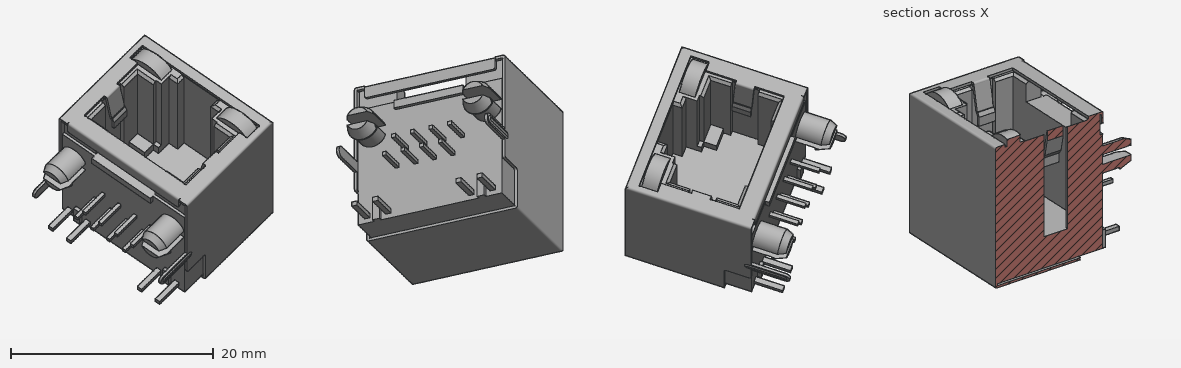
import cadquery as cq


SHELL_WIDTH = 16.5
SHELL_DEPTH = 13.2
SHELL_HEIGHT = 15.73
SHEET = 0.3
BEND_RADIUS = 0.25
SIDE_CUT_DEPTH = 2.81
SIDE_CUT_HEIGHT = 4.34
SIDE_CUT_RADIUS = 0.3
SIDE_CORNER_RADIUS = 0.2
SHELL_INNER_TOP = SHELL_HEIGHT - SHEET

WINDOW_HALF_WIDTH = 6.53
WINDOW_FRONT = 1.87
WINDOW_REAR = 12.0
LIGHT_WINDOW_HALF_WIDTH = 7.53
LIGHT_WINDOW_FRONT = 10.08

FLAP_WIDTH = 14.3
FLAP_BOTTOM = 14.39
FLAP_CORNER_RADIUS = 0.25

TAB_Z = 6.93
TAB_WIDTH = 1.17
TAB_TIP = -4.05
BEAD_HEIGHT = 0.1
BEAD_WIDTH = 0.76
BEAD_CREST_WIDTH = 0.33
BEAD_REAR = 0.7
BEAD_TIP = -3.75

SPRING_FRONT = 4.91
SPRING_REAR = 6.87
SPRING_THICKNESS = 0.25
SPRING_ROLL_X = 6.32
SPRING_TOP_X = 6.1
SPRING_TOP_Z = 15.5
SPRING_KNEE_X = 5.55
SPRING_KNEE_Z = 12.75
SPRING_STEP = 0.09
SPRING_NOSE_X = 5.24
SPRING_NOSE_Z = 12.3
SPRING_END_Z = 11.3

INSULATOR_WIDTH = 15.72
INSULATOR_FACE = 0.08
INSULATOR_BOTTOM = 0.45
LEDGE_Z = 13.22
LEDGE_DEPTH = 0.3

SOCKET_FLOOR = 4.0
SOCKET_FRONT = 2.23
SOCKET_HALF_WIDTH = 5.92
SHOULDER_Y = 9.33
NOTCH_HALF_WIDTH = 3.9
NOTCH_Y = 9.78
LATCH_HALF_WIDTH = 3.24
LATCH_Y = 10.95
KEY_HALF_WIDTH = 2.12
SOCKET_REAR = 11.94
LEAD_IN = 0.32
LEAD_IN_DEPTH = 0.25
FLOOR_STEP_HEIGHT = 1.0
FLOOR_STEP_FRONT = 8.0
SPRING_POCKET_HALF_WIDTH = 6.4
SPRING_POCKET_FRONT = 4.4
SPRING_POCKET_REAR = 7.24
SLOT_WIDTH = 7.54

STANDOFF_TIP = -0.3
BAR_HEIGHT = 0.85
RIB_X = 5.72
RIB_WIDTH = 0.77
RIB_TOP = 2.48

LIGHT_X = 5.47
LIGHT_WIDTH = 4.2
LIGHT_FRONT = 10.13
LIGHT_REAR = 11.78
LIGHT_TOP = 16.32
LIGHT_SHOULDER = 15.2
LIGHT_BOTTOM = 14.0

PEG_X = 6.32
PEG_Z = 10.36
PEG_RADIUS = 1.55
PEG_WIDTH = 2.96
PEG_TIP = -3.37
PEG_TIP_RADIUS = 1.2
PEG_TAPER_START = -2.6
BARB_RADIUS = 1.73
BARB_START = -1.97
BARB_TAPER_START = -2.1
PEG_SLOT = 1.03

PIN_TIP = -2.91
CONTACT_COUNT = 8
CONTACT_PITCH = 1.02
CONTACT_SIZE = 0.4
CONTACT_ROWS_Z = (6.04, 7.8)
LIGHT_PIN_XS = (4.55, 6.86)
LIGHT_PIN_Z = 1.2
LIGHT_PIN_WIDTH = 0.57
LIGHT_PIN_HEIGHT = 0.47


def box(x_range, y_range, z_range):
    size = [high - low for low, high in (x_range, y_range, z_range)]
    return cq.Workplane("XY").box(*size, centered=False).translate((x_range[0], y_range[0], z_range[0]))


def centered_box(width, y_range, z_range, x=0.0):
    return box((x - width / 2, x + width / 2), y_range, z_range)


def with_mirror(shape):
    """The shape together with its mirror image across X = 0."""
    return shape.union(shape.mirror("YZ"))


def mirrored_outline(right_side):
    """Closed XY outline from its right-hand points, listed from front to rear."""
    left_side = [(-x, y) for x, y in reversed(right_side)]
    return cq.Workplane("XY").polyline(right_side + left_side).close()


def make_shell():
    shell = centered_box(SHELL_WIDTH, (0, SHELL_DEPTH), (0, SHELL_HEIGHT))
    shell = shell.edges("(|Y and (>Z or <Z)) or (|X and >Y)").fillet(BEND_RADIUS)
    shell = shell.cut(
        centered_box(SHELL_WIDTH - 2 * SHEET, (0, SHELL_DEPTH - SHEET), (SHEET, SHELL_INNER_TOP))
    )
    side_cut = centered_box(SHELL_WIDTH, (0, SIDE_CUT_DEPTH), (0, SIDE_CUT_HEIGHT))
    shell = shell.cut(side_cut.edges("|X and >Y and >Z").fillet(SIDE_CUT_RADIUS))
    side_corners = cq.selectors.BoxSelector(
        (-SHELL_WIDTH, -SHEET, SIDE_CUT_HEIGHT - SHEET),
        (SHELL_WIDTH, SHEET, SIDE_CUT_HEIGHT + SHEET),
    )
    shell = shell.edges("|X").edges(side_corners).fillet(SIDE_CORNER_RADIUS)
    window = mirrored_outline([
        (WINDOW_HALF_WIDTH, WINDOW_FRONT),
        (WINDOW_HALF_WIDTH, LIGHT_WINDOW_FRONT),
        (LIGHT_WINDOW_HALF_WIDTH, LIGHT_WINDOW_FRONT),
        (LIGHT_WINDOW_HALF_WIDTH, WINDOW_REAR),
    ]).extrude(SHEET).translate((0, 0, SHELL_INNER_TOP))
    return shell.cut(window)


def make_flap():
    """Tongue of the top sheet folded down over the board side."""
    flap = centered_box(FLAP_WIDTH, (0, SHEET), (FLAP_BOTTOM, SHELL_HEIGHT))
    return flap.edges("|Y and <Z").fillet(FLAP_CORNER_RADIUS)


def round_flap_bend():
    """Material outside the rounded fold between the top sheet and the flap."""
    corner = centered_box(
        FLAP_WIDTH, (0, BEND_RADIUS), (SHELL_HEIGHT - BEND_RADIUS, SHELL_HEIGHT)
    )
    fold = (
        cq.Workplane("YZ", origin=(-FLAP_WIDTH / 2, BEND_RADIUS, SHELL_HEIGHT - BEND_RADIUS))
        .circle(BEND_RADIUS)
        .extrude(FLAP_WIDTH)
    )
    return corner.cut(fold)


def make_ground_tab():
    """Round-ended tab in the plane of the right-hand shell wall, with a raised bead."""
    outer_x = SHELL_WIDTH / 2
    tab_end = TAB_TIP + TAB_WIDTH / 2
    z_range = (TAB_Z - TAB_WIDTH / 2, TAB_Z + TAB_WIDTH / 2)
    tab = box((outer_x - SHEET, outer_x), (tab_end, SHEET), z_range)
    tip = (
        cq.Workplane("YZ", origin=(outer_x - SHEET, tab_end, TAB_Z))
        .circle(TAB_WIDTH / 2)
        .extrude(SHEET)
    )
    bead_length = BEAD_REAR - BEAD_TIP
    inset = BEAD_WIDTH - BEAD_CREST_WIDTH
    bead = (
        cq.Workplane("YZ", origin=(outer_x, (BEAD_REAR + BEAD_TIP) / 2, TAB_Z))
        .slot2D(bead_length, BEAD_WIDTH)
        .workplane(offset=BEAD_HEIGHT)
        .slot2D(bead_length - inset, BEAD_CREST_WIDTH)
        .loft(ruled=True)
    )
    return tab.union(tip).union(bead)


def make_spring():
    """Right-hand contact spring, rolled down from the edge of the window."""
    return (
        cq.Workplane("XZ", origin=(0, SPRING_REAR, 0))
        .moveTo(WINDOW_HALF_WIDTH + SHEET, SHELL_HEIGHT)
        .lineTo(SPRING_ROLL_X, SHELL_HEIGHT)
        .tangentArcPoint((SPRING_TOP_X, SPRING_TOP_Z), relative=False)
        .lineTo(SPRING_KNEE_X, SPRING_KNEE_Z)
        .lineTo(SPRING_KNEE_X - SPRING_STEP, SPRING_KNEE_Z)
        .lineTo(SPRING_NOSE_X, SPRING_NOSE_Z)
        .lineTo(SPRING_NOSE_X, SPRING_END_Z)
        .lineTo(SPRING_NOSE_X + SPRING_THICKNESS, SPRING_END_Z)
        .lineTo(SPRING_NOSE_X + SPRING_THICKNESS, SPRING_NOSE_Z)
        .lineTo(SPRING_KNEE_X + SPRING_THICKNESS, SPRING_KNEE_Z)
        .lineTo(SPRING_TOP_X + SPRING_THICKNESS, SHELL_INNER_TOP)
        .lineTo(WINDOW_HALF_WIDTH + SHEET, SHELL_INNER_TOP)
        .close()
        .extrude(SPRING_REAR - SPRING_FRONT)
    )


def lead_in(half_widths, fronts, rears):
    """Flared void under the top sheet; each pair gives its lower and upper limit."""
    levels = (SHELL_INNER_TOP - LEAD_IN_DEPTH, SHELL_INNER_TOP)
    outlines = []
    for half_width, front, rear, z in zip(half_widths, fronts, rears, levels):
        corners = [(-half_width, front), (half_width, front), (half_width, rear), (-half_width, rear)]
        points = [cq.Vector(x, y, z) for x, y in corners]
        outlines.append(cq.Wire.makePolygon(points, close=True))
    return cq.Workplane(cq.Solid.makeLoft(outlines, True))


def make_socket():
    """Void of the plug socket with its latch keyway, lead-ins, spring pockets and slot."""
    z_range = (SOCKET_FLOOR, SHELL_INNER_TOP)
    socket = mirrored_outline([
        (SOCKET_HALF_WIDTH, SOCKET_FRONT),
        (SOCKET_HALF_WIDTH, SHOULDER_Y),
        (NOTCH_HALF_WIDTH, SHOULDER_Y),
        (NOTCH_HALF_WIDTH, NOTCH_Y),
        (LATCH_HALF_WIDTH, NOTCH_Y),
        (LATCH_HALF_WIDTH, LATCH_Y),
        (KEY_HALF_WIDTH, LATCH_Y),
        (KEY_HALF_WIDTH, SOCKET_REAR),
    ]).extrude(SHELL_INNER_TOP - SOCKET_FLOOR).translate((0, 0, SOCKET_FLOOR))

    plug_lead_in = lead_in(
        (SOCKET_HALF_WIDTH, SOCKET_HALF_WIDTH + LEAD_IN),
        (SOCKET_FRONT, SOCKET_FRONT - LEAD_IN),
        (SHOULDER_Y, SHOULDER_Y + LEAD_IN),
    )
    latch_lead_in = lead_in(
        (LATCH_HALF_WIDTH, LATCH_HALF_WIDTH),
        (NOTCH_Y, NOTCH_Y),
        (LATCH_Y, LATCH_Y + LEAD_IN),
    )
    key_lead_in = lead_in(
        (KEY_HALF_WIDTH, KEY_HALF_WIDTH + LEAD_IN),
        (LATCH_Y, LATCH_Y),
        (SOCKET_REAR, SOCKET_REAR),
    )
    spring_pockets = centered_box(
        2 * SPRING_POCKET_HALF_WIDTH, (SPRING_POCKET_FRONT, SPRING_POCKET_REAR), z_range
    )
    slot = centered_box(SLOT_WIDTH, (INSULATOR_FACE, SOCKET_FRONT), (LEDGE_Z, SHELL_INNER_TOP))
    for void in (plug_lead_in, latch_lead_in, key_lead_in, spring_pockets, slot):
        socket = socket.union(void)

    step_heights = (SOCKET_FLOOR, SOCKET_FLOOR + FLOOR_STEP_HEIGHT)
    corner_step = box((NOTCH_HALF_WIDTH, SOCKET_HALF_WIDTH), (FLOOR_STEP_FRONT, SHOULDER_Y), step_heights)
    notch_step = box((LATCH_HALF_WIDTH, NOTCH_HALF_WIDTH), (SHOULDER_Y, NOTCH_Y), step_heights)
    return socket.cut(with_mirror(corner_step)).cut(with_mirror(notch_step))


def make_insulator():
    insulator = centered_box(
        INSULATOR_WIDTH,
        (INSULATOR_FACE, SHELL_DEPTH - SHEET),
        (INSULATOR_BOTTOM, SHELL_INNER_TOP),
    )
    flap_recess = centered_box(
        INSULATOR_WIDTH, (INSULATOR_FACE, INSULATOR_FACE + LEDGE_DEPTH), (LEDGE_Z, SHELL_INNER_TOP)
    )
    return insulator.cut(flap_recess).cut(make_socket())


def make_standoffs():
    """Long bar under the slot and a short upright rib near each lower corner."""
    y_range = (STANDOFF_TIP, INSULATOR_FACE)
    bar = centered_box(SLOT_WIDTH, y_range, (LEDGE_Z - BAR_HEIGHT, LEDGE_Z))
    rib = centered_box(RIB_WIDTH, y_range, (INSULATOR_BOTTOM, RIB_TOP), RIB_X)
    return bar.union(with_mirror(rib))


def make_light():
    """Right-hand indicator light with a domed top."""
    left = LIGHT_X - LIGHT_WIDTH / 2
    right = LIGHT_X + LIGHT_WIDTH / 2
    return (
        cq.Workplane("XZ", origin=(0, LIGHT_REAR, 0))
        .moveTo(left, LIGHT_BOTTOM)
        .lineTo(left, LIGHT_SHOULDER)
        .threePointArc((LIGHT_X, LIGHT_TOP), (right, LIGHT_SHOULDER))
        .lineTo(right, LIGHT_BOTTOM)
        .close()
        .extrude(LIGHT_REAR - LIGHT_FRONT)
    )


def turned_about_peg_axis(profile):
    """Solid of revolution about the right-hand peg axis from (radius, y) points."""
    return (
        cq.Workplane("XY", origin=(PEG_X, 0, PEG_Z))
        .polyline(profile)
        .close()
        .revolve(360, (0, 0), (0, 1))
    )


def make_peg():
    """Right-hand locating peg: two halves, the lower one with a snap barb, trimmed flat at the sides."""
    root = INSULATOR_FACE
    plain_peg = turned_about_peg_axis([
        (0, root),
        (PEG_RADIUS, root),
        (PEG_RADIUS, PEG_TAPER_START),
        (PEG_TIP_RADIUS, PEG_TIP),
        (0, PEG_TIP),
    ])
    barbed_peg = turned_about_peg_axis([
        (0, root),
        (PEG_RADIUS, root),
        (PEG_RADIUS, BARB_START),
        (BARB_RADIUS, BARB_START),
        (BARB_RADIUS, BARB_TAPER_START),
        (PEG_TIP_RADIUS, PEG_TIP),
        (0, PEG_TIP),
    ])
    y_range = (PEG_TIP, root)
    upper_zone = centered_box(
        PEG_WIDTH, y_range, (PEG_Z + PEG_SLOT / 2, PEG_Z + PEG_RADIUS), PEG_X
    )
    lower_zone = centered_box(
        PEG_WIDTH, y_range, (PEG_Z - BARB_RADIUS, PEG_Z - PEG_SLOT / 2), PEG_X
    )
    return plain_peg.intersect(upper_zone).union(barbed_peg.intersect(lower_zone))


def make_pin(x, z, width, height):
    return centered_box(width, (PIN_TIP, INSULATOR_FACE), (z - height / 2, z + height / 2), x)


def add_contact_pins(body):
    """Single line of contacts in X, staggered between two rows in Z."""
    first_x = -CONTACT_PITCH * (CONTACT_COUNT - 1) / 2
    for index in range(CONTACT_COUNT):
        row_z = CONTACT_ROWS_Z[index % len(CONTACT_ROWS_Z)]
        x = first_x + index * CONTACT_PITCH
        body = body.union(make_pin(x, row_z, CONTACT_SIZE, CONTACT_SIZE))
    return body


def add_light_pins(body):
    for x in LIGHT_PIN_XS:
        pin = make_pin(x, LIGHT_PIN_Z, LIGHT_PIN_WIDTH, LIGHT_PIN_HEIGHT)
        body = body.union(with_mirror(pin))
    return body


def make_jack():
    jack = make_shell().union(make_flap()).cut(round_flap_bend())
    jack = jack.union(make_insulator())
    jack = jack.union(make_standoffs())
    for feature in (make_ground_tab(), make_spring(), make_light(), make_peg()):
        jack = jack.union(with_mirror(feature))
    jack = add_contact_pins(jack)
    return add_light_pins(jack)


result = make_jack()